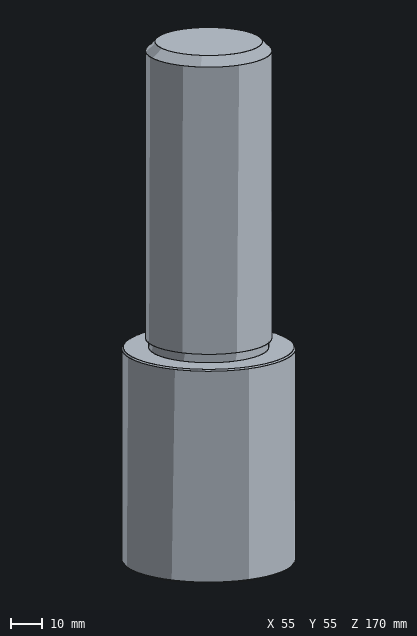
import cadquery as cq

total_height = 170.0

base_diameter = 55.0
base_height = 70.0
base_chamfer = 0.5

groove_diameter = 38.0
groove_height = 3.0

shank_diameter = 40.0
shank_chamfer = 3.0
shank_bottom = base_height + groove_height
shank_height = total_height - shank_bottom


def cylinder(diameter, height, bottom):
    """Upright cylinder on the Z axis, starting at the given height."""
    return cq.Workplane("XY").workplane(offset=bottom).circle(diameter / 2).extrude(height)


def make_base():
    """Large cylinder with both rims broken by a small chamfer."""
    return cylinder(base_diameter, base_height, 0).edges("%CIRCLE").chamfer(base_chamfer)


def make_groove_core():
    """Narrow neck left by the relief groove."""
    return cylinder(groove_diameter, groove_height, base_height)


def make_shank():
    """Long shank with a chamfered top end."""
    shank = cylinder(shank_diameter, shank_height, shank_bottom)
    return shank.faces(">Z").edges().chamfer(shank_chamfer)


result = make_base().union(make_groove_core()).union(make_shank())